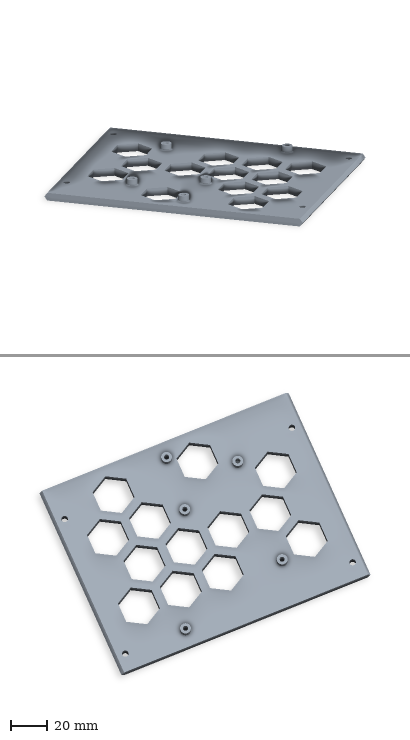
import cadquery as cq
import math

length = 148.6
width = 114.9
total_height = 8.0
plate_thickness = 4.5
edge_inset = 1.6

corner_hole_diameter = 3.5
corner_hole_x = 67.8
corner_hole_ys = (47.5, -37.5)

hex_flats = 20.0
hex_span = 100.0
hex_pitch = hex_span / 4
hex_row_pitch = hex_pitch * math.sqrt(3) / 2
hex_top_row_y = 25.0
hex_rows = (
    (-2, 0, 1, 2),
    (-1.5, -0.5, 0.5, 1.5),
    (-2, 1, 2),
    (-0.5, 1.5),
)

standoff_diameter = 6.0
standoff_height = total_height - plate_thickness
standoff_hole_diameter = 2.8
flare_width = 1.0
flare_height = 0.52
left_standoff_x = -32.4
through_standoffs = (
    (left_standoff_x, 32.0),
    (32.1, 48.1),
    (5.3, -15.8),
    (2.7, -47.5),
)
blind_standoff = (left_standoff_x, -30.2)


def make_plate():
    """Flat plate whose left and right edges come to a point at mid thickness."""
    tip_x = length / 2
    face_x = tip_x - edge_inset
    profile = [
        (-face_x, 0),
        (face_x, 0),
        (tip_x, plate_thickness / 2),
        (face_x, plate_thickness),
        (-face_x, plate_thickness),
        (-tip_x, plate_thickness / 2),
    ]
    return cq.Workplane("XZ").polyline(profile).close().extrude(width / 2, both=True)


def hex_openings():
    """Hexagonal prisms with two corners pointing along Y."""
    centres = []
    for row, columns in enumerate(hex_rows):
        y = hex_top_row_y - row * hex_row_pitch
        centres += [(column * hex_pitch, y) for column in columns]
    corner_diameter = hex_flats / math.cos(math.pi / 6)
    prism = cq.Workplane("XY").polygon(6, corner_diameter).extrude(plate_thickness)
    prism = prism.rotate((0, 0, 0), (0, 0, 1), 30)
    return cq.Workplane("XY").pushPoints(centres).eachpoint(lambda place: prism.val().moved(place))


def corner_holes():
    """Drills for the four mounting holes."""
    centres = [(side * corner_hole_x, y) for side in (-1, 1) for y in corner_hole_ys]
    return cq.Workplane("XY").pushPoints(centres).circle(corner_hole_diameter / 2).extrude(plate_thickness)


def standoffs():
    """Round posts that flare into the top face of the plate in a low concave flare."""
    radius = standoff_diameter / 2
    flare_radius = radius + flare_width
    sweep = 2 * math.atan2(flare_height, flare_width)
    arc_radius = flare_width / math.sin(sweep)
    arc_middle = (
        flare_radius - arc_radius * math.sin(sweep / 2),
        arc_radius * (1 - math.cos(sweep / 2)),
    )
    post = (
        cq.Workplane("XZ")
        .lineTo(flare_radius, 0)
        .threePointArc(arc_middle, (radius, flare_height))
        .lineTo(radius, standoff_height)
        .lineTo(0, standoff_height)
        .close()
        .revolve(360, (0, 0, 0), (0, 1, 0))
    )
    return (
        cq.Workplane("XY", origin=(0, 0, plate_thickness))
        .pushPoints([*through_standoffs, blind_standoff])
        .eachpoint(lambda place: post.val().moved(place))
    )


def standoff_holes():
    """Bores through four standoffs and the plate; the fifth stops at the plate's top face."""
    radius = standoff_hole_diameter / 2
    through = cq.Workplane("XY").pushPoints(through_standoffs).circle(radius).extrude(total_height)
    blind = (
        cq.Workplane("XY", origin=(0, 0, plate_thickness))
        .pushPoints([blind_standoff])
        .circle(radius)
        .extrude(standoff_height)
    )
    return through.union(blind)


result = make_plate().cut(hex_openings()).cut(corner_holes())
result = result.union(standoffs()).cut(standoff_holes())